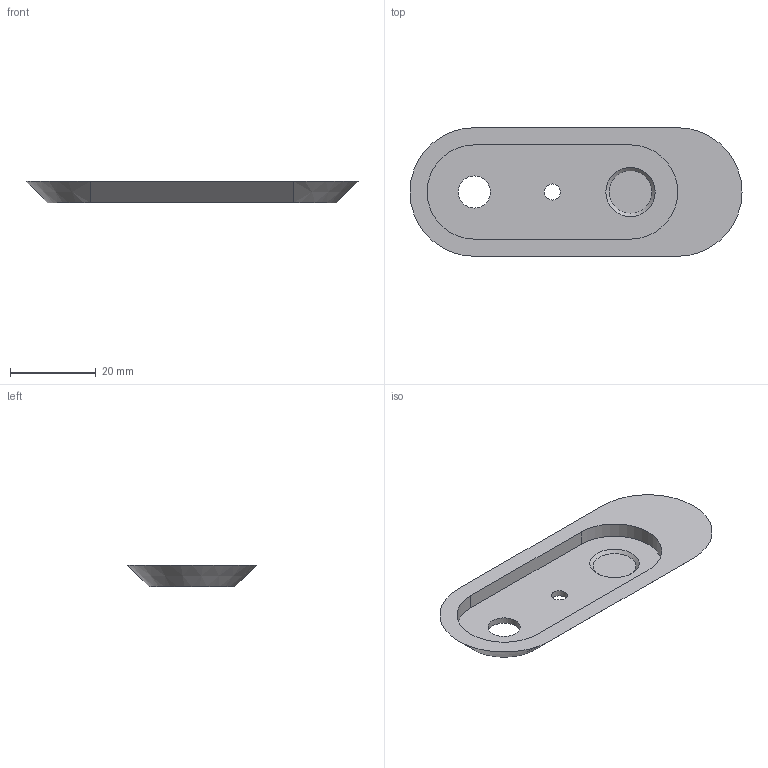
import cadquery as cq
import math

plate_length = 77.41
plate_width = 30.0
plate_height = 5.0
side_angle = 45.0

rim_width = 4.0
pocket_depth = 3.5
pocket_centre_distance = 36.41
pocket_width = plate_width - 2 * rim_width
pocket_length = pocket_centre_distance + pocket_width

large_hole_diameter = 7.5
small_hole_diameter = 3.75
recess_top_diameter = 11.5
recess_floor_diameter = 10.0
recess_depth = 0.75

left_end_x = -plate_length / 2 + plate_width / 2
pocket_right_x = left_end_x + pocket_centre_distance
pocket_middle_x = (left_end_x + pocket_right_x) / 2
pocket_floor_z = plate_height - pocket_depth


def make_plate():
    """Rounded-end slab with its large face on top and evenly sloping sides."""
    bottom_inset = plate_height * math.tan(math.radians(side_angle))
    bottom_length = plate_length - 2 * bottom_inset
    bottom_width = plate_width - 2 * bottom_inset
    return (
        cq.Workplane("XY")
        .slot2D(bottom_length, bottom_width)
        .extrude(plate_height, taper=-side_angle)
    )


def make_pocket():
    """Straight-walled, rounded-end pocket volume."""
    return (
        cq.Workplane("XY", origin=(pocket_middle_x, 0, pocket_floor_z))
        .slot2D(pocket_length, pocket_width)
        .extrude(pocket_depth)
    )


def make_through_hole(x, diameter):
    """Vertical round hole through the pocket floor."""
    return cq.Workplane("XY", origin=(x, 0, 0)).circle(diameter / 2).extrude(plate_height)


def make_recess():
    """Shallow conical recess in the pocket floor, narrowing downwards."""
    return (
        cq.Workplane("XY", origin=(pocket_right_x, 0, pocket_floor_z - recess_depth))
        .circle(recess_floor_diameter / 2)
        .workplane(offset=recess_depth)
        .circle(recess_top_diameter / 2)
        .loft()
    )


result = (
    make_plate()
    .cut(make_pocket())
    .cut(make_through_hole(left_end_x, large_hole_diameter))
    .cut(make_through_hole(pocket_middle_x, small_hole_diameter))
    .cut(make_recess())
)